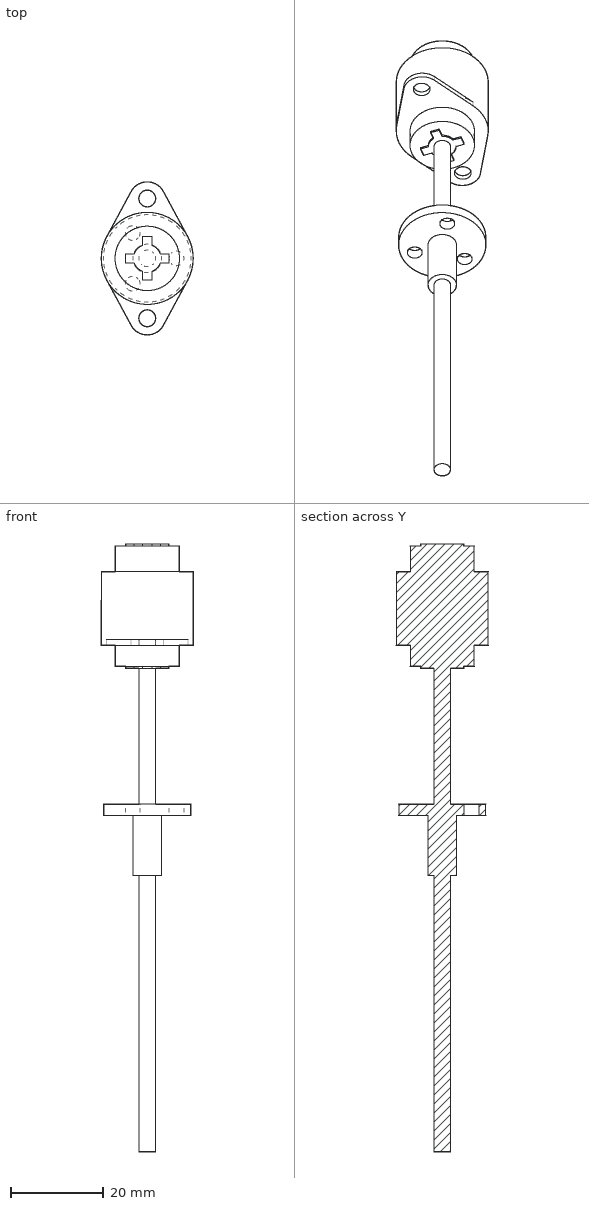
import cadquery as cq
import math

total_height = 132.0
rod_diameter = 3.6

float_length = 27.0
cross_height = 0.4
core_diameter = 14.0
body_diameter = 20.0
body_top_depth = 6.0
body_length = 16.0

cross_hub_diameter = 6.0
cross_span = 9.4
cross_arm_width = 2.0

plate_length = 33.28
plate_thickness = 1.2
plate_hole_spacing = 26.0
plate_hole_diameter = 3.6
ear_radius = 4.0

flange_top_depth = 56.5
flange_diameter = 19.0
flange_thickness = 2.5
flange_hole_count = 3
flange_hole_diameter = 3.2
flange_hole_circle_diameter = 12.7
sleeve_diameter = 6.2
sleeve_length = 13.0

float_bottom = total_height - float_length
core_bottom = float_bottom + cross_height
core_length = float_length - 2 * cross_height
body_bottom = total_height - body_top_depth - body_length
flange_bottom = total_height - flange_top_depth - flange_thickness
sleeve_bottom = flange_bottom - sleeve_length


def cylinder(diameter, bottom, height):
    return cq.Workplane("XY", origin=(0, 0, bottom)).circle(diameter / 2).extrude(height)


def make_cross(bottom, height):
    """Hub and two crossed bars sharing one height."""
    plane = cq.Workplane("XY", origin=(0, 0, bottom))
    bar_x = plane.rect(cross_span, cross_arm_width).extrude(height)
    bar_y = plane.rect(cross_arm_width, cross_span).extrude(height)
    return cylinder(cross_hub_diameter, bottom, height).union(bar_x).union(bar_y)


def make_plate():
    """Plate outlined by a central arc, two ear arcs and the lines tangent to them."""
    middle_radius = body_diameter / 2
    ear_center = plate_length / 2 - ear_radius
    tangent_angle = math.asin((middle_radius - ear_radius) / ear_center)
    across = math.cos(tangent_angle)
    along = math.sin(tangent_angle)
    middle_x = middle_radius * across
    middle_y = middle_radius * along
    ear_x = ear_radius * across
    ear_y = ear_center + ear_radius * along
    outline = (
        cq.Workplane("XY", origin=(0, 0, body_bottom))
        .moveTo(middle_x, -middle_y)
        .threePointArc((middle_radius, 0), (middle_x, middle_y))
        .lineTo(ear_x, ear_y)
        .threePointArc((0, plate_length / 2), (-ear_x, ear_y))
        .lineTo(-middle_x, middle_y)
        .threePointArc((-middle_radius, 0), (-middle_x, -middle_y))
        .lineTo(-ear_x, -ear_y)
        .threePointArc((0, -plate_length / 2), (ear_x, -ear_y))
        .close()
    )
    holes = (
        cq.Workplane("XY", origin=(0, 0, body_bottom))
        .rarray(1, plate_hole_spacing, 1, 2)
        .circle(plate_hole_diameter / 2)
        .extrude(plate_thickness)
    )
    return outline.extrude(plate_thickness).cut(holes)


def make_float():
    """Core, body, plate and a cross on either end."""
    core = cylinder(core_diameter, core_bottom, core_length)
    body = cylinder(body_diameter, body_bottom, body_length)
    top_cross = make_cross(total_height - cross_height, cross_height)
    bottom_cross = make_cross(float_bottom, cross_height)
    return core.union(body).union(make_plate()).union(top_cross).union(bottom_cross)


def make_flanged_sleeve():
    """Round flange with evenly spaced through holes, the first on +X, over a sleeve."""
    flange = cylinder(flange_diameter, flange_bottom, flange_thickness)
    holes = (
        cq.Workplane("XY", origin=(0, 0, flange_bottom))
        .polarArray(flange_hole_circle_diameter / 2, 0, 360, flange_hole_count)
        .circle(flange_hole_diameter / 2)
        .extrude(flange_thickness)
    )
    sleeve = cylinder(sleeve_diameter, sleeve_bottom, sleeve_length)
    return flange.cut(holes).union(sleeve)


rod = cylinder(rod_diameter, 0, float_bottom + cross_height)
result = rod.union(make_flanged_sleeve()).union(make_float())